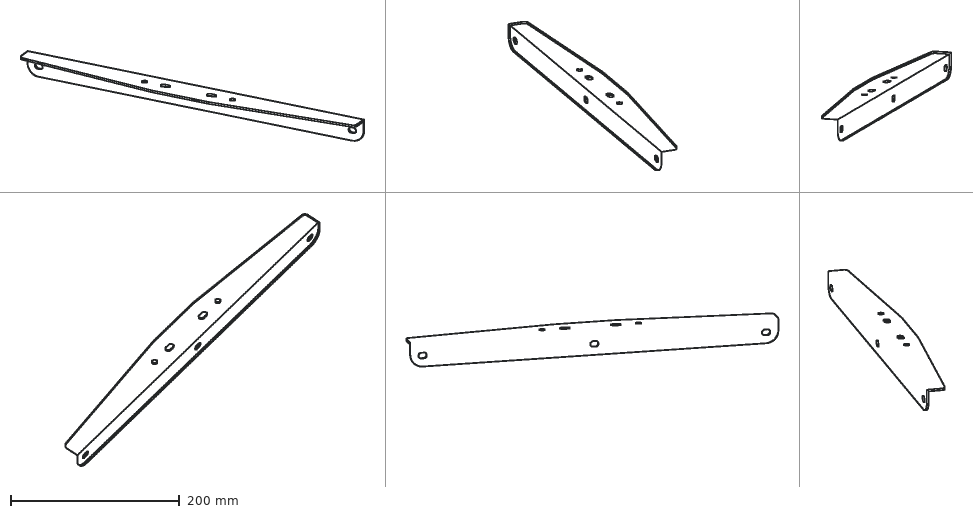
import cadquery as cq

LENGTH = 450.0
DEPTH = 40.0
HEIGHT = 30.0
THICKNESS = 2.5
OUTER_BEND_RADIUS = 2.0

MIDDLE_FLAT_LENGTH = 75.0
END_DEPTH = 23.0
FLANGE_CORNER_RADIUS = 5.0

WEB_CORNER_RADIUS = 15.0

FLANGE_HOLE_SPACING = 118.0
FLANGE_HOLE_DIAMETER = 6.5
FLANGE_SLOT_SPACING = 62.0
FLANGE_SLOT_LENGTH = 12.0
FLANGE_SLOT_WIDTH = 7.0

WEB_SLOT_PITCH = 210.0
WEB_SLOT_LENGTH = 10.0
WEB_SLOT_WIDTH = 7.0
WEB_SLOT_DROP = 16.5

BACK_Y = DEPTH / 2
FRONT_Y = -DEPTH / 2
FLANGE_OPENING_Y = 0.0
WEB_SLOT_Z = HEIGHT - WEB_SLOT_DROP


def bent_angle():
    """L-shaped section with a rounded outer bend, extruded along X."""
    section = (
        cq.Workplane("YZ")
        .moveTo(FRONT_Y, HEIGHT)
        .lineTo(BACK_Y, HEIGHT)
        .lineTo(BACK_Y, 0)
        .lineTo(BACK_Y - THICKNESS, 0)
        .lineTo(BACK_Y - THICKNESS, HEIGHT - THICKNESS)
        .lineTo(FRONT_Y, HEIGHT - THICKNESS)
        .close()
        .extrude(LENGTH / 2, both=True)
    )
    return section.edges("|X and >Y and >Z").fillet(OUTER_BEND_RADIUS)


def flange_outline():
    """Full-height prism with the tapered plan shape of the horizontal flange."""
    end_y = BACK_Y - END_DEPTH
    half_length = LENGTH / 2
    half_flat = MIDDLE_FLAT_LENGTH / 2
    prism = (
        cq.Workplane("XY")
        .moveTo(-half_length, BACK_Y)
        .lineTo(-half_length, end_y)
        .lineTo(-half_flat, FRONT_Y)
        .lineTo(half_flat, FRONT_Y)
        .lineTo(half_length, end_y)
        .lineTo(half_length, BACK_Y)
        .close()
        .extrude(HEIGHT)
    )
    return prism.edges("|Z and (<X or >X)").edges("<Y").fillet(FLANGE_CORNER_RADIUS)


def web_outline():
    """Full-depth prism with the lower corners of the vertical flange rounded."""
    return (
        cq.Workplane("XY")
        .box(LENGTH, DEPTH, HEIGHT, centered=(True, True, False))
        .edges("|Y and <Z")
        .fillet(WEB_CORNER_RADIUS)
    )


def flange_openings():
    """Cutters for the round holes and the slots of the horizontal flange."""
    plane = cq.Workplane("XY", origin=(0, FLANGE_OPENING_Y, HEIGHT))
    holes = (
        plane.pushPoints([(side * FLANGE_HOLE_SPACING / 2, 0) for side in (-1, 1)])
        .circle(FLANGE_HOLE_DIAMETER / 2)
        .extrude(-THICKNESS)
    )
    slots = (
        plane.pushPoints([(side * FLANGE_SLOT_SPACING / 2, 0) for side in (-1, 1)])
        .slot2D(FLANGE_SLOT_LENGTH, FLANGE_SLOT_WIDTH)
        .extrude(-THICKNESS)
    )
    return holes.union(slots)


def web_slots():
    """Cutters for the three slots of the vertical flange."""
    return (
        cq.Workplane("XZ", origin=(0, BACK_Y, WEB_SLOT_Z))
        .pushPoints([(step * WEB_SLOT_PITCH, 0) for step in (-1, 0, 1)])
        .slot2D(WEB_SLOT_LENGTH, WEB_SLOT_WIDTH)
        .extrude(THICKNESS)
    )


bracket = bent_angle().intersect(flange_outline()).intersect(web_outline())
result = bracket.cut(flange_openings()).cut(web_slots())